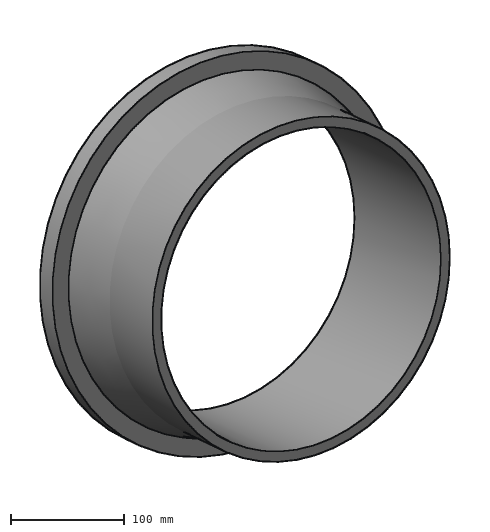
import cadquery as cq

total_length = 136.0
flange_thickness = 20.0
taper_length = 49.0

flange_diameter = 370.0
taper_base_diameter = 336.0
pipe_diameter = 315.0
bore_diameter = 295.5

flange_radius = flange_diameter / 2
taper_base_radius = taper_base_diameter / 2
pipe_radius = pipe_diameter / 2
bore_radius = bore_diameter / 2
taper_end = flange_thickness + taper_length

half_section = (
    cq.Workplane("XY")
    .moveTo(0, bore_radius)
    .lineTo(0, flange_radius)
    .lineTo(flange_thickness, flange_radius)
    .lineTo(flange_thickness, taper_base_radius)
    .lineTo(taper_end, pipe_radius)
    .lineTo(total_length, pipe_radius)
    .lineTo(total_length, bore_radius)
    .close()
)

result = half_section.revolve(360, (0, 0, 0), (1, 0, 0))